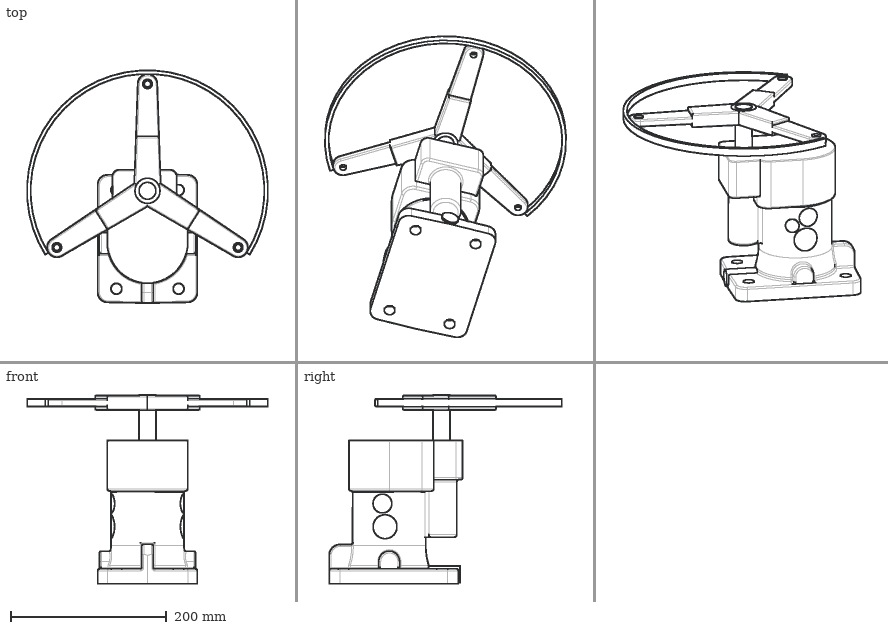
import cadquery as cq
import math

overall_height = 242.8
tolerance = 0.03

plate_half_width = 64.0
plate_height = 19.2
plate_front = -144.3
plate_back = 21.7
end_face_lean = 1.2
plate_corner_radius = 13.0
bolt_hole_diameter = 13.5
bolt_hole_x = 40.0
bolt_hole_ys = (-125.7, 1.0)

barrel_y = -67.2
barrel_radius = 94.0 / 2
flare_top = 49.5
flare_bottom = 24.0
flare_radius = 86.7

lug_reach = 61.5
lug_half_width = 13.3
lug_arch_z = 28.8
rib_width = 14.5
rib_top = 50.8
rib_nose_radius = 14.2
root_fillet = 2.2
edge_fillet = 2.2

boss_radius = 21.7 / 2
boss_z = 12.5
boss_end = 23.8

head_bottom = 119.2
head_top = 184.5
head_radius = 51.7
head_back = -10.0
head_corner_radius = 15.5
block_left = -45.2
block_right = 37.8
block_back = 27.2
block_bottom = 133.8
block_corner_radius = 9.3
head_lower_fillet = 2.8
head_root_fillet = 1.5
head_top_fillet = 1.2

column_radius = 19.8
column_bottom = 59.8
column_edge_fillet = 3.7
column_blend_radius = 3.0
collar_fillet = 2.5

shallow_recesses = ((-76.0, 103.0, 24.0), (-72.5, 73.5, 30.7))
recess_depth = 0.15
dimple_y = -54.8
dimple_z = 92.5
dimple_radius = 17.5 / 2

wheel_mid_z = 232.5
rim_radius = 154.8
rim_thickness = 5.0
rim_height = 10.0
lower_arm_angle = -32
arm_angles = (90, lower_arm_angle, 180 - lower_arm_angle)
tip_radius = 12.7
tip_distance = rim_radius - rim_thickness - tip_radius
arm_root_half_width = 17.3
arm_step = 70.0
hub_thickness = 19.0
hub_radius = 32.2 / 2
arm_edge_fillet = 2.0
tip_hole_diameter = 8.0
tip_sink_diameter = 12.0
hub_bottom = wheel_mid_z - hub_thickness / 2

shaft_radius = 22.0 / 2
journal_radius = 21.7 / 2


def cylinder(x, y, bottom, radius, height):
    return cq.Workplane("XY", origin=(x, y, bottom)).circle(radius).extrude(height)


def flared_radius(z):
    """Barrel radius at height z within the flared foot."""
    return barrel_radius + flare_radius - math.sqrt(flare_radius**2 - (flare_top - z) ** 2)


def midpoint(edge):
    return edge.positionAt(0.5)


def plate_prism(height):
    corner_front = plate_front + end_face_lean
    corner_back = plate_back - end_face_lean
    outline = [
        (0, plate_front),
        (plate_half_width, corner_front),
        (plate_half_width, corner_back),
        (0, plate_back),
        (-plate_half_width, corner_back),
        (-plate_half_width, corner_front),
    ]
    prism = cq.Workplane("XY").polyline(outline).close().extrude(height)
    return prism.edges("|Z").edges("<X or >X").fillet(plate_corner_radius)


def make_barrel():
    flare_mid_z = (flare_top + flare_bottom) / 2
    profile = (
        cq.Workplane("XZ")
        .lineTo(flared_radius(flare_bottom), 0)
        .lineTo(flared_radius(flare_bottom), flare_bottom)
        .threePointArc((flared_radius(flare_mid_z), flare_mid_z), (barrel_radius, flare_top))
        .lineTo(barrel_radius, head_bottom)
        .lineTo(0, head_bottom)
        .close()
    )
    return profile.revolve(360, (0, 0, 0), (0, 1, 0)).translate((0, barrel_y, 0))


def make_lugs():
    return (
        cq.Workplane("YZ", origin=(-lug_reach, 0, 0))
        .moveTo(barrel_y - lug_half_width, 0)
        .lineTo(barrel_y - lug_half_width, lug_arch_z)
        .threePointArc((barrel_y, lug_arch_z + lug_half_width), (barrel_y + lug_half_width, lug_arch_z))
        .lineTo(barrel_y + lug_half_width, 0)
        .close()
        .extrude(2 * lug_reach)
    )


def make_rib():
    return (
        cq.Workplane("YZ", origin=(-rib_width / 2, 0, 0))
        .moveTo(barrel_y, 0)
        .lineTo(plate_front, 0)
        .lineTo(plate_front, rib_top - rib_nose_radius)
        .radiusArc((plate_front + rib_nose_radius, rib_top), rib_nose_radius)
        .lineTo(barrel_y, rib_top)
        .close()
        .extrude(rib_width)
        .intersect(plate_prism(rib_top))
    )


def fillet_roots(foot, parts):
    """Fillet the inner edges where two of the parts meet above the plate."""

    def is_root(edge):
        point = midpoint(edge)
        on_lug_end = abs(abs(point.x) - lug_reach) < tolerance
        if point.z < plate_height - tolerance or on_lug_end:
            return False
        return sum(part.val().isInside(point, tolerance) for part in parts) > 1

    roots = [edge for edge in foot.edges().vals() if is_root(edge)]
    return foot.newObject(roots).fillet(root_fillet)


def fillet_rim_and_rib(foot):
    """Round the plate's top rim and the rib's outer edges in one chain."""
    plate_sides = cq.Compound.makeCompound(plate_prism(plate_height).faces("not |Z").vals())
    rib_side = rib_width / 2

    def is_outer(edge):
        point = midpoint(edge)
        if abs(point.z - plate_height) < tolerance:
            return plate_sides.distance(cq.Vertex.makeVertex(*point.toTuple())) < tolerance
        off_centre = abs(point.x)
        on_front = point.y < plate_front + end_face_lean / 2 and point.z > plate_height
        on_root = on_front and rib_side < off_centre < rib_side + root_fillet
        before_barrel = point.y < barrel_y - barrel_radius - 2 * root_fillet
        above_root = point.z > plate_height + root_fillet + tolerance
        on_side = abs(off_centre - rib_side) < tolerance and before_barrel and above_root
        return on_root or on_side

    outer = [edge for edge in foot.edges().vals() if is_outer(edge)]
    return foot.newObject(outer).fillet(edge_fillet)


def round_lug_ends(foot):
    """Trim the outer edges of both lugs to a fillet, above their root fillets."""
    lugs = make_lugs()
    trim = lugs.cut(lugs.faces("<X or >X").edges("not <Z").fillet(edge_fillet))
    floor = plate_height + root_fillet
    above_roots = cylinder(0, barrel_y, floor, 2 * lug_reach, flare_top)
    return foot.cut(trim.intersect(above_roots))


def make_foot():
    parts = [plate_prism(plate_height), make_barrel(), make_lugs(), make_rib()]
    foot = parts[0]
    for part in parts[1:]:
        foot = foot.union(part)
    foot = fillet_roots(foot, parts)
    foot = fillet_rim_and_rib(foot)
    foot = round_lug_ends(foot)
    boss = cq.Workplane("XZ", origin=(0, boss_end, boss_z)).circle(boss_radius).extrude(boss_end - barrel_y)
    foot = foot.union(boss)
    corner_holes = [(side * bolt_hole_x, y) for side in (-1, 1) for y in bolt_hole_ys]
    holes = cq.Workplane("XY").pushPoints(corner_holes).circle(bolt_hole_diameter / 2).extrude(plate_height)
    return foot.cut(holes)


def make_head():
    head = (
        cq.Workplane("XY", origin=(0, 0, head_bottom))
        .moveTo(-head_radius, head_back)
        .lineTo(-head_radius, barrel_y)
        .threePointArc((0, barrel_y - head_radius), (head_radius, barrel_y))
        .lineTo(head_radius, head_back)
        .close()
        .extrude(head_top - head_bottom)
        .edges("|Z")
        .edges(">Y")
        .fillet(head_corner_radius)
        .faces("<Z")
        .edges()
        .fillet(head_lower_fillet)
    )
    block = (
        cq.Workplane("XY", origin=(0, 0, block_bottom))
        .moveTo(block_left, barrel_y)
        .lineTo(block_left, block_back)
        .lineTo(block_right, block_back)
        .lineTo(block_right, barrel_y)
        .close()
        .extrude(head_top - block_bottom)
        .edges("|Z")
        .edges(">Y")
        .fillet(block_corner_radius)
        .faces("<Z")
        .edges("not <Y")
        .fillet(head_lower_fillet)
    )
    return head.union(block).faces(">Z").edges().fillet(head_top_fillet)


def fillet_head_root(housing):
    """Fillet the circle where the barrel meets the underside of the gear head."""

    def is_seam(edge):
        at_head_bottom = abs(midpoint(edge).z - head_bottom) < tolerance
        return at_head_bottom and abs(edge.radius() - barrel_radius) < tolerance

    seam = [edge for edge in housing.edges("%CIRCLE").vals() if is_seam(edge)]
    return housing.newObject(seam).fillet(head_root_fillet)


def make_column():
    """Round column with concave blends into the barrel beside it and the block above it."""
    height = block_bottom - column_bottom
    column = cylinder(0, 0, column_bottom, column_radius, height)
    to_column = column_radius + column_blend_radius
    to_barrel = barrel_radius + column_blend_radius
    blend_y = (to_column**2 - to_barrel**2 + barrel_y**2) / (2 * barrel_y)
    blend_x = math.sqrt(to_column**2 - blend_y**2)
    web = (
        cq.Workplane("XY", origin=(0, 0, column_bottom))
        .polyline([(0, 0), (blend_x, blend_y), (0, barrel_y), (-blend_x, blend_y)])
        .close()
        .extrude(height)
    )
    for side in (-1, 1):
        web = web.cut(cylinder(side * blend_x, blend_y, column_bottom, column_blend_radius, height))
    collar_radius = column_radius + collar_fillet
    collar_base = block_bottom - collar_fillet
    collar = cylinder(0, 0, collar_base, collar_radius, collar_fillet)
    groove = cq.Workplane(cq.Solid.makeTorus(collar_radius, collar_fillet, cq.Vector(0, 0, collar_base)))
    column = column.union(collar.cut(groove))
    return column.faces("<Z").edges().fillet(column_edge_fillet).union(web)


def cut_barrel_recesses(housing):
    recess_band = cylinder(0, barrel_y, 0, barrel_radius, head_bottom).cut(
        cylinder(0, barrel_y, 0, barrel_radius - recess_depth, head_bottom)
    )
    for y, z, diameter in shallow_recesses:
        bar = cq.Workplane("YZ", origin=(0, y, z)).circle(diameter / 2).extrude(barrel_radius, both=True)
        housing = housing.cut(recess_band.intersect(bar))
    dimple_x = -math.sqrt(barrel_radius**2 - (dimple_y - barrel_y) ** 2)
    dimple = cq.Workplane("YZ", origin=(dimple_x, dimple_y, dimple_z)).sphere(dimple_radius)
    return housing.cut(dimple)


def make_housing():
    housing = fillet_head_root(make_foot().union(make_head()))
    return cut_barrel_recesses(housing.union(make_column()))


def make_arm(length, thickness):
    """Tapered arm along +X, cut off at length unless its round tip lies within it."""
    slope_sine = (arm_root_half_width - tip_radius) / tip_distance
    slope_cosine = math.sqrt(1 - slope_sine**2)
    root_x = arm_root_half_width * slope_sine
    root_y = arm_root_half_width * slope_cosine
    side_end_x = tip_distance + tip_radius * slope_sine
    side_end_y = tip_radius * slope_cosine
    arm = (
        cq.Workplane("XY", origin=(0, 0, wheel_mid_z - thickness / 2))
        .moveTo(root_x, -root_y)
        .lineTo(side_end_x, -side_end_y)
        .threePointArc((tip_distance + tip_radius, 0), (side_end_x, side_end_y))
        .lineTo(root_x, root_y)
        .close()
        .extrude(thickness)
    )
    keep = cq.Workplane("XY").box(length, 4 * arm_root_half_width, 2 * overall_height, centered=(False, True, True))
    return arm.intersect(keep)


def at_each_arm(shape):
    copies = [shape.rotate((0, 0, 0), (0, 0, 1), angle) for angle in arm_angles]
    return copies[0].union(copies[1]).union(copies[2])


def make_spider():
    roots = at_each_arm(make_arm(arm_step, hub_thickness))
    roots = roots.union(cylinder(0, 0, hub_bottom, hub_radius, hub_thickness))
    roots = roots.faces("|Z").edges().fillet(arm_edge_fillet)
    arm = make_arm(rim_radius, rim_height).faces("|Z").edges("not <X").fillet(arm_edge_fillet)
    tip_top = wheel_mid_z + rim_height / 2
    hole = cylinder(tip_distance, 0, 0, tip_hole_diameter / 2, overall_height)
    sink_depth = (tip_sink_diameter - tip_hole_diameter) / 2
    sink = (
        cq.Workplane("XY", origin=(tip_distance, 0, tip_top - sink_depth))
        .circle(tip_hole_diameter / 2)
        .workplane(offset=sink_depth)
        .circle(tip_sink_diameter / 2)
        .loft()
    )
    spider = roots.union(at_each_arm(arm.cut(hole).cut(sink)))
    return spider.cut(cylinder(0, 0, hub_bottom, hub_radius, hub_thickness))


def make_hub():
    hub = cylinder(0, 0, hub_bottom, hub_radius, hub_thickness)
    return hub.cut(cylinder(0, 0, hub_bottom, journal_radius, hub_thickness))


def make_rim():
    """Open ring that runs round the back from one lower arm to the other."""
    inner_radius = rim_radius - rim_thickness
    end_x = math.cos(math.radians(lower_arm_angle))
    end_y = math.sin(math.radians(lower_arm_angle))
    return (
        cq.Workplane("XY", origin=(0, 0, wheel_mid_z - rim_height / 2))
        .moveTo(rim_radius * end_x, rim_radius * end_y)
        .threePointArc((0, rim_radius), (-rim_radius * end_x, rim_radius * end_y))
        .lineTo(-inner_radius * end_x, inner_radius * end_y)
        .threePointArc((0, inner_radius), (inner_radius * end_x, inner_radius * end_y))
        .close()
        .extrude(rim_height)
    )


def make_shaft():
    shaft = cylinder(0, 0, head_top, shaft_radius, hub_bottom - head_top)
    return shaft.union(cylinder(0, 0, hub_bottom, journal_radius, overall_height - hub_bottom))


housing = make_housing()
shaft = make_shaft()
hub = make_hub()
spider = make_spider()
rim = make_rim()

result = cq.Compound.makeCompound(
    [housing.val(), shaft.val(), hub.val(), spider.val(), rim.val()]
)